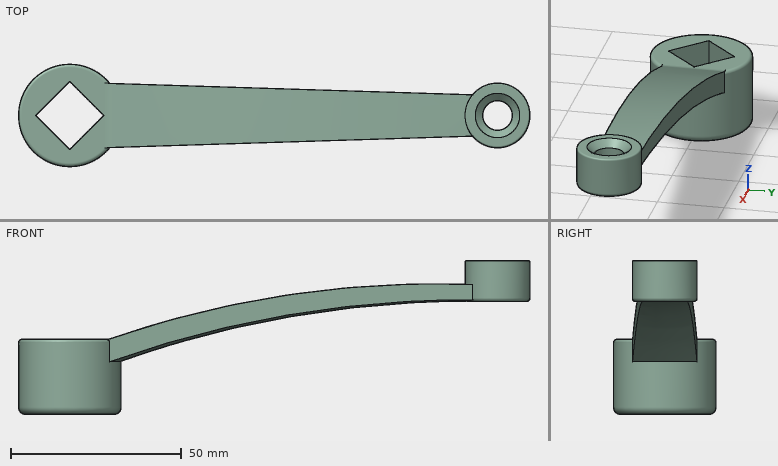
import cadquery as cq
import math

HUB_DIAMETER = 30.0
HUB_HEIGHT = 22.0
HUB_TOP_ROUND = 1.0
HUB_BOTTOM_ROUND = 2.0
SQUARE_SIDE = 14.0

OVERALL_LENGTH = 149.59
OVERALL_HEIGHT = 45.0
BOSS_DIAMETER = 19.0
BOSS_HEIGHT = 12.0
BOSS_TOP_ROUND = 0.5
BOSS_BOTTOM_ROUND = 1.0
BOLT_HOLE_DIAMETER = 8.6
COUNTERSINK_DIAMETER = 13.0
COUNTERSINK_ANGLE = 90.0

HUB_RADIUS = HUB_DIAMETER / 2
BOSS_X = OVERALL_LENGTH - HUB_RADIUS - BOSS_DIAMETER / 2
BOSS_BOTTOM_Z = OVERALL_HEIGHT - BOSS_HEIGHT

ARM_START_X = 9.0
ARM_END_X = BOSS_X - BOSS_DIAMETER / 4
ARM_TOP_CREST_X = 107.0
ARM_TOP_CREST_Z = 38.2
ARM_TOP_RADIUS = 290.0
ARM_BOTTOM_CREST_X = 117.0
ARM_BOTTOM_CREST_Z = 33.1
ARM_BOTTOM_RADIUS = 305.0
ARM_START_WIDTH = 19.0
ARM_END_WIDTH = 12.0
ARM_CROWN_RADIUS = 45.0
ARM_ROOT_FILLET = 6.0

ARM_TOP_CENTER_Z = ARM_TOP_CREST_Z - ARM_TOP_RADIUS
ARM_BOTTOM_CENTER_Z = ARM_BOTTOM_CREST_Z - ARM_BOTTOM_RADIUS
ARM_ROOT_X = ARM_TOP_CREST_X - math.sqrt(ARM_TOP_RADIUS**2 - (HUB_HEIGHT - ARM_TOP_CENTER_Z) ** 2)


def arm_top_point(x):
    """Point on the upper arc of the arm at the given x."""
    return (x, ARM_TOP_CENTER_Z + math.sqrt(ARM_TOP_RADIUS**2 - (x - ARM_TOP_CREST_X) ** 2))


def make_hub():
    hub = cq.Workplane("XY").circle(HUB_RADIUS).extrude(HUB_HEIGHT)
    hub = hub.faces(">Z").edges().fillet(HUB_TOP_ROUND)
    return hub.faces("<Z").edges().fillet(HUB_BOTTOM_ROUND)


def make_boss():
    boss = (
        cq.Workplane("XY", origin=(BOSS_X, 0, BOSS_BOTTOM_Z))
        .circle(BOSS_DIAMETER / 2)
        .extrude(BOSS_HEIGHT)
    )
    boss = boss.faces(">Z").edges().fillet(BOSS_TOP_ROUND)
    return boss.faces("<Z").edges().fillet(BOSS_BOTTOM_ROUND)


def make_upper_profile():
    """Everything below the arm's upper outline, blended into the level of the hub top."""
    middle_x = (ARM_ROOT_X + ARM_END_X) / 2
    profile = (
        cq.Workplane("XZ")
        .moveTo(ARM_START_X, 0)
        .lineTo(ARM_START_X, HUB_HEIGHT)
        .lineTo(ARM_ROOT_X, HUB_HEIGHT)
        .threePointArc(arm_top_point(middle_x), arm_top_point(ARM_END_X))
        .lineTo(ARM_END_X, 0)
        .close()
        .extrude(ARM_START_WIDTH, both=True)
    )
    root_edge = cq.selectors.NearestToPointSelector((ARM_ROOT_X, 0, HUB_HEIGHT))
    return profile.edges("|Y").edges(root_edge).fillet(ARM_ROOT_FILLET)


def make_plan():
    """Tapered plan shape of the arm, narrowing towards the boss."""
    return (
        cq.Workplane("XY")
        .moveTo(ARM_START_X, -ARM_START_WIDTH / 2)
        .lineTo(ARM_END_X, -ARM_END_WIDTH / 2)
        .lineTo(ARM_END_X, ARM_END_WIDTH / 2)
        .lineTo(ARM_START_X, ARM_START_WIDTH / 2)
        .close()
        .extrude(OVERALL_HEIGHT)
    )


def make_space_below_arm():
    """Barrel about Y whose hollowed rim leaves the crowned lower face of the arm."""
    half_width = ARM_START_WIDTH
    crown_depth = ARM_CROWN_RADIUS - math.sqrt(ARM_CROWN_RADIUS**2 - half_width**2)
    rim_radius = ARM_BOTTOM_RADIUS + crown_depth
    return (
        cq.Workplane("YZ", origin=(ARM_BOTTOM_CREST_X, 0, ARM_BOTTOM_CENTER_Z))
        .moveTo(-half_width, 0)
        .lineTo(-half_width, rim_radius)
        .threePointArc((0, ARM_BOTTOM_RADIUS), (half_width, rim_radius))
        .lineTo(half_width, 0)
        .close()
        .revolve(360, (0, 0), (1, 0))
    )


def make_arm():
    return make_upper_profile().intersect(make_plan()).cut(make_space_below_arm())


def make_square_hole():
    """Through hole with its corners pointing along X and Y."""
    hole = cq.Workplane("XY").rect(SQUARE_SIDE, SQUARE_SIDE).extrude(HUB_HEIGHT)
    return hole.rotate((0, 0, 0), (0, 0, 1), 45)


def drill_bolt_hole(body):
    return (
        body.copyWorkplane(cq.Workplane("XY", origin=(BOSS_X, 0, OVERALL_HEIGHT)))
        .cskHole(BOLT_HOLE_DIAMETER, COUNTERSINK_DIAMETER, COUNTERSINK_ANGLE)
    )


body = make_hub().union(make_boss()).union(make_arm())
result = drill_bolt_hole(body.cut(make_square_hole()))